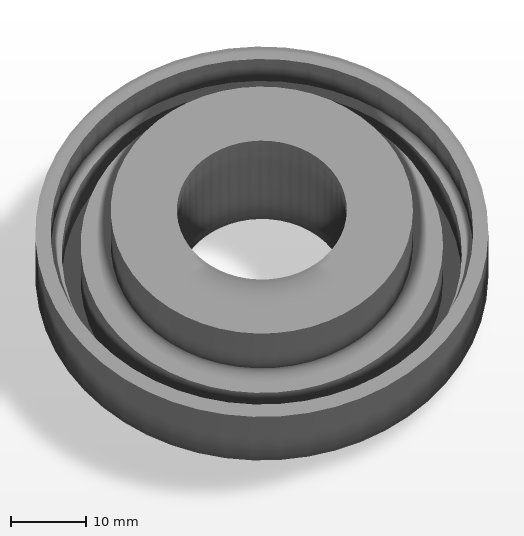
import cadquery as cq

outer_diameter = 60.0
rim_bore_diameter = 56.0
groove_outer_diameter = 53.0
shoulder_diameter = 48.0
boss_diameter = 40.0
bore_diameter = 22.5

total_height = 18.0
rim_height = 13.0
shoulder_height = 10.0
ledge_height = 8.0
groove_floor_height = 2.0

bottom_chamfer = 3.0


def cylinder(diameter, bottom, top):
    """Solid cylinder on the Z axis between two heights."""
    return cq.Workplane("XY").workplane(offset=bottom).circle(diameter / 2).extrude(top - bottom)


cup = cylinder(outer_diameter, 0, rim_height).faces("<Z").chamfer(bottom_chamfer)
cup = cup.cut(cylinder(rim_bore_diameter, ledge_height, rim_height))
cup = cup.cut(cylinder(groove_outer_diameter, groove_floor_height, rim_height))

hub = cylinder(shoulder_diameter, 0, shoulder_height)
hub = hub.union(cylinder(boss_diameter, 0, total_height))

result = cup.union(hub).cut(cylinder(bore_diameter, 0, total_height))